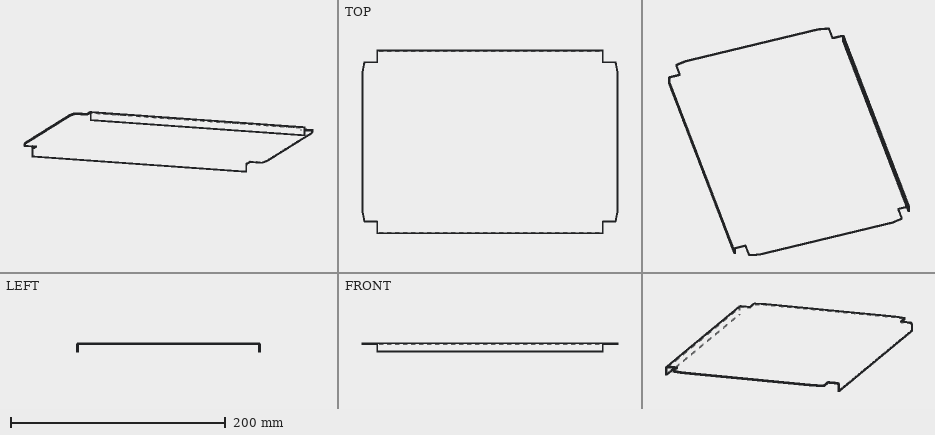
import cadquery as cq

length = 237.6
width = 170.5
height = 8.0

thickness = 1.0
inner_bend_radius = 1.0
outer_bend_radius = inner_bend_radius + thickness

notch_length = 13.8
notch_width = 11.0
taper_length = 9.7
taper_inset = 2.0
corner_radius = 1.2

flange_length = length - 2 * notch_length
tab_width = width - 2 * notch_width


def make_channel():
    """Sheet folded down along both long sides, with its top face at Z = 0."""
    outside = (
        cq.Workplane("XY")
        .box(flange_length, width, height, centered=(True, True, False))
        .translate((0, 0, -height))
        .edges("|X and >Z")
        .fillet(outer_bend_radius)
    )
    inside = (
        cq.Workplane("XY")
        .box(flange_length, width - 2 * thickness, height, centered=(True, True, False))
        .translate((0, 0, -height - thickness))
        .edges("|X and >Z")
        .fillet(inner_bend_radius)
    )
    return outside.cut(inside)


def make_tab_plate():
    """Flat plate whose ends project past the flanges and taper at the corners."""
    plate = cq.Workplane("XY").box(length, tab_width, thickness).translate((0, 0, -thickness / 2))
    for side_x in (-1, 1):
        for side_y in (-1, 1):
            end_x = side_x * length / 2
            edge_y = side_y * tab_width / 2
            taper_cut = (
                cq.Workplane("XY")
                .moveTo(end_x, edge_y)
                .lineTo(end_x - side_x * taper_inset, edge_y)
                .lineTo(end_x, edge_y - side_y * taper_length)
                .close()
                .extrude(-thickness)
            )
            plate = plate.cut(taper_cut)
    corner_edges = plate.edges("|Z").edges("<Y or >Y")
    return corner_edges.fillet(corner_radius)


result = make_channel().union(make_tab_plate())